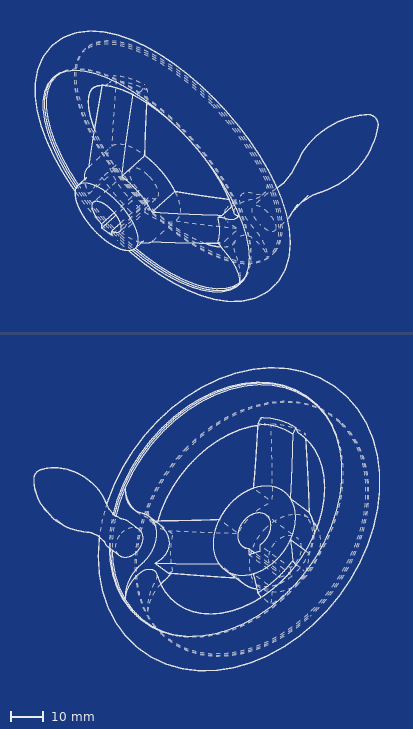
import cadquery as cq
import math


hub_nose_radius = 13.0
hub_radius = 15.0
hub_length = 17.0
nose_length = 3.7
neck_radius = 13.8
neck_end = 5.4
bore_diameter = 12.0
key_width = 4.0
key_depth = 7.8

wheel_radius = 50.0
rim_front = 18.0
rim_thickness = 15.0
rim_round = rim_thickness / 2
rim_back = rim_front + rim_thickness
rim_round_centre = wheel_radius - rim_round
rim_middle = rim_front + rim_round
step_radius = 42.2
step_depth = 1.2
lip_depth = 0.7
rim_inner_radius = 32.0
inner_round = 4.0

spoke_count = 3
spoke_root_radius = 10.0
spoke_tip_radius = 34.0
spoke_root_width = 15.8
spoke_tip_width = 14.6
front_slope = 0.9
spoke_back_depth = 28.0
back_slope = 0.7

handle_offset = 36.0
boss_radius = 10.0
pad_front = rim_front + step_depth
pad_back = rim_back - step_depth
flare_radius = 10.7
flare_centre_z = 18.5
collar_radius = 5.0
collar_end = 38.0
waist_radius = 4.0
waist_depth = 44.2
grip_start = 51.7
grip_start_radius = 5.5
grip_radius = 8.0
grip_middle = 63.5
grip_end = 81.2
tip_radius = 2.4
tip_end = 82.2


def revolve_about_y(profile):
    return profile.close().revolve(360, (0, 0, 0), (0, 1, 0))


def front_plane(depth):
    """Sketch plane at the given depth, with X to the right and Z up, extruding towards -Y."""
    return cq.Workplane("XZ", origin=(0, depth, 0))


def front_cone_depth(radius):
    """Depth of the cone that forms the hub shoulder and the front of the spokes."""
    return neck_end + front_slope * (radius - neck_radius)


def make_hub():
    return revolve_about_y(
        cq.Workplane("XY")
        .lineTo(hub_nose_radius, 0)
        .lineTo(hub_nose_radius, nose_length)
        .tangentArcPoint((neck_radius, neck_end), relative=False)
        .lineTo(hub_radius, front_cone_depth(hub_radius))
        .lineTo(hub_radius, hub_length)
        .lineTo(0, hub_length)
    )


def make_rim():
    """Ring with a rounded grip and a thinner web inside it, the same on both faces."""
    round_centre = rim_inner_radius + inner_round
    front_step = rim_front + step_depth
    run = step_radius - round_centre
    rise = rim_middle - front_step
    web_angle = math.asin(inner_round / math.hypot(run, rise)) + math.atan2(run, rise) - math.pi / 2
    touch_radius = round_centre + inner_round * math.sin(web_angle)
    touch_offset = inner_round * math.cos(web_angle)
    return revolve_about_y(
        cq.Workplane("XY")
        .moveTo(rim_round_centre, rim_front)
        .threePointArc((wheel_radius, rim_middle), (rim_round_centre, rim_back))
        .lineTo(rim_round_centre, rim_back - lip_depth)
        .lineTo(step_radius, rim_back - step_depth)
        .lineTo(touch_radius, rim_middle + touch_offset)
        .threePointArc((rim_inner_radius, rim_middle), (touch_radius, rim_middle - touch_offset))
        .lineTo(step_radius, front_step)
        .lineTo(rim_round_centre, rim_front + lip_depth)
    )


def make_spokes():
    """Slanted conical dish, cut to three tapered arms."""
    dish = revolve_about_y(
        cq.Workplane("XY")
        .moveTo(neck_radius, neck_end)
        .lineTo(spoke_tip_radius, front_cone_depth(spoke_tip_radius))
        .lineTo(spoke_tip_radius, spoke_back_depth)
        .lineTo(hub_radius + (spoke_back_depth - hub_length) / back_slope, spoke_back_depth)
        .lineTo(hub_radius, hub_length)
        .lineTo(spoke_root_radius, hub_length)
        .lineTo(spoke_root_radius, neck_end)
    )
    arm = (
        front_plane(rim_back)
        .polyline(
            [
                (spoke_root_radius, -spoke_root_width / 2),
                (spoke_tip_radius, -spoke_tip_width / 2),
                (spoke_tip_radius, spoke_tip_width / 2),
                (spoke_root_radius, spoke_root_width / 2),
            ]
        )
        .close()
        .extrude(rim_back)
    )
    spokes = cq.Workplane("XY")
    for index in range(spoke_count):
        turned = arm.rotate((0, 0, 0), (0, 1, 0), index * 360 / spoke_count)
        spokes = spokes.union(dish.intersect(turned))
    return spokes


def make_pad():
    """Round boss under the handle, flaring out to the rim on both sides."""
    centre_distance = boss_radius + flare_radius
    centre_dx = -math.sqrt(centre_distance**2 - flare_centre_z**2)
    touch_x = handle_offset + centre_dx * boss_radius / centre_distance
    touch_z = flare_centre_z * boss_radius / centre_distance
    flare_x = handle_offset + centre_dx + flare_radius
    rim_z = math.sqrt(step_radius**2 - flare_x**2)
    thickness = pad_back - pad_front
    plate = (
        front_plane(pad_back)
        .moveTo(touch_x, -touch_z)
        .radiusArc((flare_x, -flare_centre_z), flare_radius)
        .lineTo(flare_x, -rim_z)
        .threePointArc((step_radius, 0), (flare_x, rim_z))
        .lineTo(flare_x, flare_centre_z)
        .radiusArc((touch_x, touch_z), flare_radius)
        .close()
        .extrude(thickness)
    )
    boss = front_plane(pad_back).center(handle_offset, 0).circle(boss_radius).extrude(thickness)
    return plate.union(boss)


def make_handle():
    tip_height = tip_end - grip_end
    dome_radius = (tip_radius**2 + tip_height**2) / (2 * tip_height)
    half_angle = math.asin(tip_radius / dome_radius) / 2
    dome_middle = (
        dome_radius * math.sin(half_angle),
        tip_end - dome_radius * (1 - math.cos(half_angle)),
    )
    return revolve_about_y(
        cq.Workplane("XY")
        .moveTo(0, rim_middle)
        .lineTo(collar_radius, rim_middle)
        .lineTo(collar_radius, collar_end)
        .threePointArc((waist_radius, waist_depth), (grip_start_radius, grip_start))
        .threePointArc((grip_radius, grip_middle), (tip_radius, grip_end))
        .threePointArc(dome_middle, (0, tip_end))
    ).translate((handle_offset, 0, 0))


def make_bore():
    bore = front_plane(hub_length).circle(bore_diameter / 2).extrude(hub_length)
    keyway = front_plane(hub_length).center(0, -key_depth / 2).rect(key_width, key_depth).extrude(hub_length)
    return bore.union(keyway)


result = make_hub().union(make_spokes()).union(make_rim()).union(make_pad()).union(make_handle())
result = result.cut(make_bore())